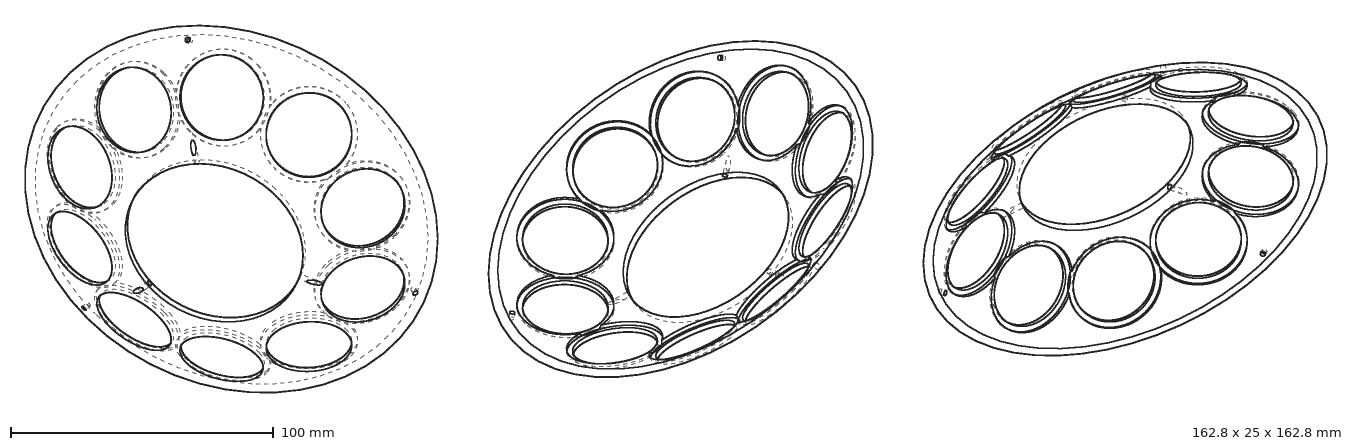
import cadquery as cq
import math

outer_diameter = 162.8
bore_diameter = 70.0
dish_depth = 25.0
wall = 3.3

outer_radius = outer_diameter / 2
bore_radius = bore_diameter / 2
centre_y = (outer_radius**2 + dish_depth**2 - bore_radius**2) / (2 * dish_depth)
sphere_radius = math.hypot(bore_radius, centre_y)
inner_centre_y = centre_y + wall

window_count = 10
window_diameter = 32.5
window_tilt = 28.2
seat_diameter = 37.0
seat_lip = 3.0

pin_diameter = 2.0
pin_count = 3
pin_start_angle = 102.2
rim_pin_radius = 77.2
bore_pin_y = 2.0
bore_pin_reach = 48.9

clearance = 4.9


def dish_y(radius):
    """Y of the outer surface at a distance from the Y axis."""
    return centre_y - math.sqrt(sphere_radius**2 - radius**2)


def dish_ring():
    inner_rim_radius = math.sqrt(sphere_radius**2 - (inner_centre_y - dish_depth)**2)
    outer_middle = (outer_radius + bore_radius) / 2
    inner_middle = (inner_rim_radius + bore_radius) / 2
    return (
        cq.Workplane("XY")
        .moveTo(bore_radius, 0)
        .threePointArc((outer_middle, dish_y(outer_middle)), (outer_radius, dish_depth))
        .lineTo(inner_rim_radius, dish_depth)
        .threePointArc((inner_middle, dish_y(inner_middle) + wall), (bore_radius, wall))
        .close()
        .revolve(360, (0, 0, 0), (0, 1, 0))
    )


def square_cutter(diameter, tilt, angle, start, end):
    """Cylinder along a sphere radius, between two distances from the outer sphere centre.

    tilt is measured from -Y and angle runs from +X toward +Z.
    """
    across = math.sin(math.radians(tilt))
    direction = cq.Vector(
        across * math.cos(math.radians(angle)),
        -math.cos(math.radians(tilt)),
        across * math.sin(math.radians(angle)),
    )
    base = cq.Vector(0, centre_y, 0) + direction * start
    return cq.Solid.makeCylinder(diameter / 2, end - start, base, direction)


def radial_cutter(angle):
    """Cylinder pointing straight out from the Y axis, breaking out through the dish."""
    direction = cq.Vector(math.cos(math.radians(angle)), 0, math.sin(math.radians(angle)))
    base = cq.Vector(0, bore_pin_y, 0)
    return cq.Solid.makeCylinder(pin_diameter / 2, bore_pin_reach, base, direction)


result = dish_ring()

cut_start = sphere_radius - wall - clearance
cut_end = sphere_radius + clearance
seat_end = sphere_radius - seat_lip
for i in range(window_count):
    window_angle = 90 + i * 360 / window_count
    result = result.cut(square_cutter(window_diameter, window_tilt, window_angle, cut_start, cut_end))
    result = result.cut(square_cutter(seat_diameter, window_tilt, window_angle, cut_start, seat_end))

rim_pin_tilt = math.degrees(math.asin(rim_pin_radius / sphere_radius))
for i in range(pin_count):
    pin_angle = pin_start_angle + i * 360 / pin_count
    result = result.cut(square_cutter(pin_diameter, rim_pin_tilt, pin_angle, cut_start, cut_end))
    result = result.cut(radial_cutter(pin_angle))